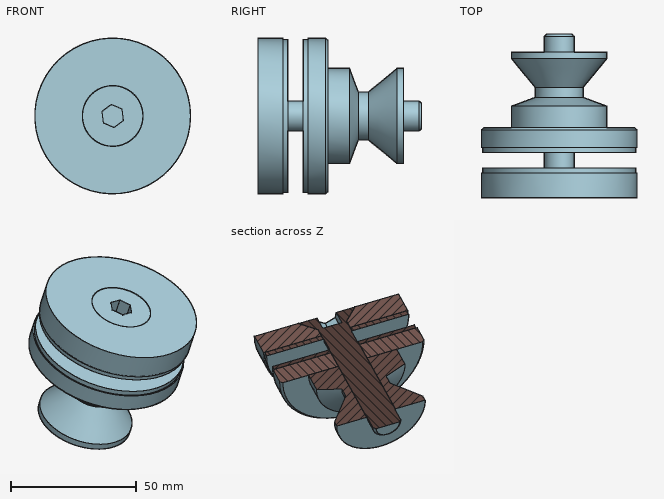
import cadquery as cq


disc_diameter = 62.0
gasket_diameter = 61.0
front_disc_thickness = 10.0
rear_disc_thickness = 8.0
rear_disc_chamfer = 1.0
gasket_thickness = 2.0
glass_gap = 6.0

knob_diameter = 38.0
neck_diameter = 19.2
base_length = 8.5
base_taper_length = 3.5
neck_length = 4.0
flare_length = 11.4
rim_length = 2.6

shank_diameter = 12.0
head_diameter = 24.0
screw_length = 65.1
screw_tip_chamfer = 1.0
head_recess = 0.1
socket_across_flats = 8.0
socket_depth = 6.0
socket_angle = 37.0
hexagon_sides = 6
hexagon_flats_to_corners = 2 / 3 ** 0.5

front_gasket_y = front_disc_thickness
rear_gasket_y = front_gasket_y + gasket_thickness + glass_gap
rear_disc_y = rear_gasket_y + gasket_thickness
knob_y = rear_disc_y + rear_disc_thickness

disc_radius = disc_diameter / 2
knob_radius = knob_diameter / 2
neck_radius = neck_diameter / 2
shank_radius = shank_diameter / 2
head_radius = head_diameter / 2

head_height = head_radius - shank_radius
head_end_y = head_recess + head_height


def turned(profile):
    """Revolve a closed outline of (radius, y) points about the Y axis."""
    return cq.Workplane("XY").polyline(profile).close().revolve(360, (0, 0, 0), (0, 1, 0))


def make_front_disc():
    """Front disc whose 90-degree countersink continues the head cone to the front face."""
    return turned([
        (head_radius + head_recess, 0),
        (disc_radius, 0),
        (disc_radius, front_disc_thickness),
        (shank_radius, front_disc_thickness),
        (shank_radius, head_end_y),
    ])


def make_gasket(start_y):
    """Flat ring that pads one disc against the glass."""
    end_y = start_y + gasket_thickness
    gasket_radius = gasket_diameter / 2
    return turned([
        (shank_radius, start_y),
        (gasket_radius, start_y),
        (gasket_radius, end_y),
        (shank_radius, end_y),
    ])


def make_rear_disc():
    """Rear disc with a chamfered rim on the knob side."""
    return turned([
        (shank_radius, rear_disc_y),
        (disc_radius, rear_disc_y),
        (disc_radius, knob_y - rear_disc_chamfer),
        (disc_radius - rear_disc_chamfer, knob_y),
        (shank_radius, knob_y),
    ])


def make_knob():
    """Spool: straight base, taper down to the neck, then a flare out to the rim."""
    base_end_y = knob_y + base_length
    neck_start_y = base_end_y + base_taper_length
    neck_end_y = neck_start_y + neck_length
    rim_start_y = neck_end_y + flare_length
    rim_end_y = rim_start_y + rim_length
    return turned([
        (shank_radius, knob_y),
        (knob_radius, knob_y),
        (knob_radius, base_end_y),
        (neck_radius, neck_start_y),
        (neck_radius, neck_end_y),
        (knob_radius, rim_start_y),
        (knob_radius, rim_end_y),
        (shank_radius, rim_end_y),
    ])


def make_screw():
    """Countersunk screw through the whole stack, with a hexagon socket in its head."""
    tip_y = head_recess + screw_length
    screw = turned([
        (0, head_recess),
        (head_radius, head_recess),
        (shank_radius, head_end_y),
        (shank_radius, tip_y - screw_tip_chamfer),
        (shank_radius - screw_tip_chamfer, tip_y),
        (0, tip_y),
    ])
    socket = (
        cq.Workplane("XZ", origin=(0, head_recess, 0))
        .transformed(rotate=(0, 0, socket_angle))
        .polygon(hexagon_sides, socket_across_flats * hexagon_flats_to_corners)
        .extrude(-socket_depth)
    )
    return screw.cut(socket)


front_disc = make_front_disc()
gaskets = [make_gasket(start_y) for start_y in (front_gasket_y, rear_gasket_y)]
rear_disc = make_rear_disc()
knob = make_knob()
screw = make_screw()

result = cq.Compound.makeCompound([
    front_disc.val(),
    *[gasket.val() for gasket in gaskets],
    rear_disc.val(),
    knob.val(),
    screw.val(),
])